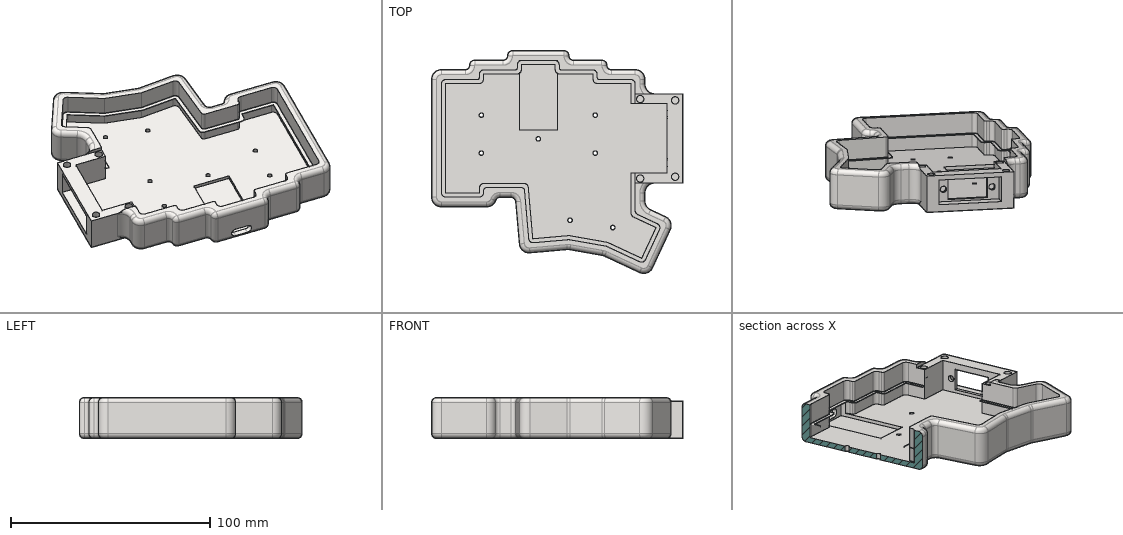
import cadquery as cq
import math


body_height = 20.6
box_height = 18.8
floor_top = 3.0
lip_top = 10.2
lip_thickness = 0.3
lip_bottom = lip_top - lip_thickness

length_x = 126.3
length_y = 112.0
wall = 4.9
lip_width = 2.0
pitch = 19.1
margin = 1.0
stagger = 4.8
key_columns = 5
thumb_tilts = (5, -10, -25)
outer_thumb_width = 20.7
thumb_widths = (pitch + margin, pitch, outer_thumb_width)
thumb_corner = (49.0, 15.3)
main_bottom = 38.4
notch_top = main_bottom + stagger
notch_left = 26.1

edge_fillet = 2.5
corner_radius = wall
step_convex_radius = 2.7
step_concave_radius = stagger - step_convex_radius
notch_convex_radius = stagger
notch_concave_radius = stagger / 2
cavity_radius = 2.3
cavity_step_radius = 1.0
cavity_notch_radius = 1.5

box_y_min = 45.5
box_y_max = 90.3
box_mid_y = (box_y_min + box_y_max) / 2
box_end_wall = 8.0
box_cavity_y_min = 50.4
box_cavity_y_max = 85.4
box_cavity_x_max = length_x - box_end_wall
stub_length = 10.1

panel_thickness = 1.9
connector_z = 10.1
window_width = 20.2
window_height = 10.9
flange_width = 32.1
flange_height = 12.8
connector_screw_spacing = 25.0
connector_screw_diameter = 3.2

pocket_floor = 1.3
pocket_y_min = 72.1
pocket_y_max = 109.3
slot_width = 10.9
slot_height = 4.5
slot_z = 4.5

screw_diameter = 2.1
magnet_diameter = 3.7
magnet_depth = 5.0
screw_row_y = 60.5
middle_screw_y = 67.7
thumb_screws = [(69.6, 26.8), (91.0, 23.1)]
magnets = [(104.8, 87.6), (122.3, 87.0), (122.3, 48.6), (104.8, 47.7)]

grid_left = wall + margin
grid_right = grid_left + key_columns * pitch
grid_mid = (grid_left + grid_right) / 2
column_top = length_y - wall

floor_screws = [
    (grid_mid + offset, y)
    for offset in (-1.5 * pitch, 1.5 * pitch)
    for y in (screw_row_y, screw_row_y + pitch)
]
floor_screws += [(grid_mid, middle_screw_y)] + thumb_screws


def polar(start, distance, degrees):
    angle = math.radians(degrees)
    return (start[0] + distance * math.cos(angle), start[1] + distance * math.sin(angle))


def unit_vector(a, b):
    size = math.dist(a, b)
    return ((b[0] - a[0]) / size, (b[1] - a[1]) / size)


def grow(points, distance):
    """Offset a clockwise polygon outward, keeping its corners sharp."""
    grown = []
    for i, corner in enumerate(points):
        ax, ay = unit_vector(points[i - 1], corner)
        bx, by = unit_vector(corner, points[(i + 1) % len(points)])
        scale = distance / (1 + ax * bx + ay * by)
        grown.append((corner[0] - (ay + by) * scale, corner[1] + (ax + bx) * scale))
    return grown


def rounded_prism(points, radii, z_min, z_max):
    """Extrude a polygon whose corners are rounded by the matching radii (0 = sharp)."""
    arcs = []
    for i, (corner, radius) in enumerate(zip(points, radii)):
        back = unit_vector(corner, points[i - 1])
        ahead = unit_vector(corner, points[(i + 1) % len(points)])
        half_angle = math.acos(back[0] * ahead[0] + back[1] * ahead[1]) / 2
        tangent = radius / math.tan(half_angle)
        sagitta = radius / math.sin(half_angle) - radius
        bisector = unit_vector((0, 0), (back[0] + ahead[0], back[1] + ahead[1]))
        arcs.append(
            [
                (corner[0] + direction[0] * reach, corner[1] + direction[1] * reach)
                for direction, reach in ((back, tangent), (bisector, sagitta), (ahead, tangent))
            ]
        )
    touching = 0.001
    last = arcs[-1][2]
    outline = cq.Workplane("XY", origin=(0, 0, z_min)).moveTo(*last)
    for (start, middle, end), radius in zip(arcs, radii):
        if math.dist(last, start) > touching:
            outline = outline.lineTo(*start)
            last = start
        if radius > 0:
            outline = outline.threePointArc(middle, end)
            last = end
    return outline.close().extrude(z_max - z_min)


def box(x_min, x_max, y_min, y_max, z_min, z_max):
    size = (x_max - x_min, y_max - y_min, z_max - z_min)
    return cq.Workplane("XY").box(*size, centered=False).translate((x_min, y_min, z_min))


cavity_left = grid_left - margin
cavity_right = grid_right + margin
top_steps = [
    (cavity_left, column_top - 2 * stagger),
    (cavity_left + pitch, column_top - 2 * stagger),
    (cavity_left + pitch, column_top - stagger),
    (cavity_left + 2 * pitch, column_top - stagger),
    (cavity_left + 2 * pitch, column_top),
]
top_steps += [(2 * grid_mid - x, y) for x, y in reversed(top_steps)]

thumb_bend_1 = polar(thumb_corner, thumb_widths[0], thumb_tilts[0])
thumb_bend_2 = polar(thumb_bend_1, thumb_widths[1], thumb_tilts[1])
thumb_tip_low = polar(thumb_bend_2, thumb_widths[2], thumb_tilts[2])
thumb_tip_high = polar(thumb_tip_low, pitch + 2 * margin, thumb_tilts[2] + 90)
thumb_rise = (cavity_right - thumb_tip_high[0]) * math.tan(math.radians(thumb_tilts[2]))
thumb_top = (cavity_right, thumb_tip_high[1] + thumb_rise)
thumb_lean = (notch_top - thumb_corner[1]) * math.tan(math.radians(thumb_tilts[0]))
notch_right = (thumb_corner[0] - thumb_lean, notch_top)

lower_side = [
    thumb_top,
    thumb_tip_high,
    thumb_tip_low,
    thumb_bend_2,
    thumb_bend_1,
    thumb_corner,
    notch_right,
    (notch_left, notch_top),
    (notch_left, main_bottom),
    (cavity_left, main_bottom),
]
cavity_points = top_steps + lower_side
cavity_top_radii = [cavity_radius] + [cavity_step_radius, cavity_radius] * 2
cavity_thumb_radii = [cavity_radius] * 3 + [0, 0] + [cavity_radius]
cavity_lower_radii = [cavity_notch_radius] * 2 + [cavity_radius] * 2
cavity_radii = cavity_top_radii + cavity_top_radii[::-1] + cavity_thumb_radii + cavity_lower_radii


def make_body():
    points = grow(cavity_points, wall)
    top = points[: len(top_steps)]
    lower = points[len(top_steps):]
    notch_lean = stagger / math.sqrt(8)
    notch_corner = lower_side.index((notch_left, notch_top))
    corner_x, corner_y = lower[notch_corner]
    lower[notch_corner] = (corner_x + notch_lean, corner_y)
    outer_right = cavity_right + wall
    stub_end = outer_right + stub_length
    stub = [
        (outer_right, box_y_max),
        (stub_end, box_y_max),
        (stub_end, box_y_min),
        (outer_right, box_y_min),
    ]
    half_top_radii = [corner_radius] + [step_concave_radius, step_convex_radius] * 2
    stub_radii = [corner_radius, 0, 0, corner_radius]
    thumb_radii = [corner_radius] * 6
    notch_radii = [notch_concave_radius] * 2 + [notch_convex_radius, corner_radius]
    radii = half_top_radii + half_top_radii[::-1] + stub_radii + thumb_radii + notch_radii
    body = rounded_prism(top + stub + lower, radii, 0, body_height)
    return body.faces("<Z or >Z").edges().fillet(edge_fillet)


def add_connector_box(body):
    plan = (cavity_right, length_x, box_y_min, box_y_max)
    return body.cut(box(*plan, box_height, body_height)).union(box(*plan, 0, box_height))


def cut_cavities(body):
    cavity = rounded_prism(cavity_points, cavity_radii, floor_top, body_height)
    lip_opening = (
        cq.Workplane("XY", origin=(0, 0, lip_bottom))
        .polyline(cavity_points)
        .close()
        .offset2D(-lip_width)
        .extrude(lip_thickness)
    )
    lip = rounded_prism(cavity_points, cavity_radii, lip_bottom, lip_top).cut(lip_opening)
    box_cavity = box(
        grid_right - pitch, box_cavity_x_max, box_cavity_y_min, box_cavity_y_max, floor_top, body_height
    )
    return body.cut(cavity.cut(lip)).cut(box_cavity)


def cut_controller_pocket(body):
    x_min = grid_mid - pitch / 2
    x_max = grid_mid + pitch / 2
    open_part = box(x_min, x_max, pocket_y_min, pocket_y_max, pocket_floor, floor_top)
    undercut_y = column_top - lip_width - stagger
    under_lip = box(x_min, x_max, undercut_y, pocket_y_max, floor_top, lip_bottom)
    slot = (
        cq.Workplane("XZ", origin=(grid_mid, length_y, slot_z))
        .slot2D(slot_width, slot_height)
        .extrude(length_y - pocket_y_max)
    )
    return body.cut(open_part).cut(under_lip).cut(slot)


def cut_connector_opening(body):
    panel_x = box_cavity_x_max
    center = (panel_x, box_mid_y, connector_z)
    window = cq.Workplane("YZ", origin=center).rect(window_width, window_height).extrude(panel_thickness)
    screws = (
        cq.Workplane("YZ", origin=center)
        .pushPoints([(-connector_screw_spacing / 2, 0), (connector_screw_spacing / 2, 0)])
        .circle(connector_screw_diameter / 2)
        .extrude(panel_thickness)
    )
    flange = (
        cq.Workplane("YZ", origin=(panel_x + panel_thickness, box_mid_y, connector_z))
        .rect(flange_width, flange_height)
        .extrude(box_end_wall - panel_thickness)
    )
    return body.cut(window).cut(screws).cut(flange)


def cut_holes(body):
    screw_holes = cq.Workplane("XY").pushPoints(floor_screws).circle(screw_diameter / 2).extrude(floor_top)
    magnet_holes = (
        cq.Workplane("XY", origin=(0, 0, box_height - magnet_depth))
        .pushPoints(magnets)
        .circle(magnet_diameter / 2)
        .extrude(magnet_depth)
    )
    return body.cut(screw_holes).cut(magnet_holes)


result = make_body()
result = add_connector_box(result)
result = cut_cavities(result)
result = cut_controller_pocket(result)
result = cut_connector_opening(result)
result = cut_holes(result)